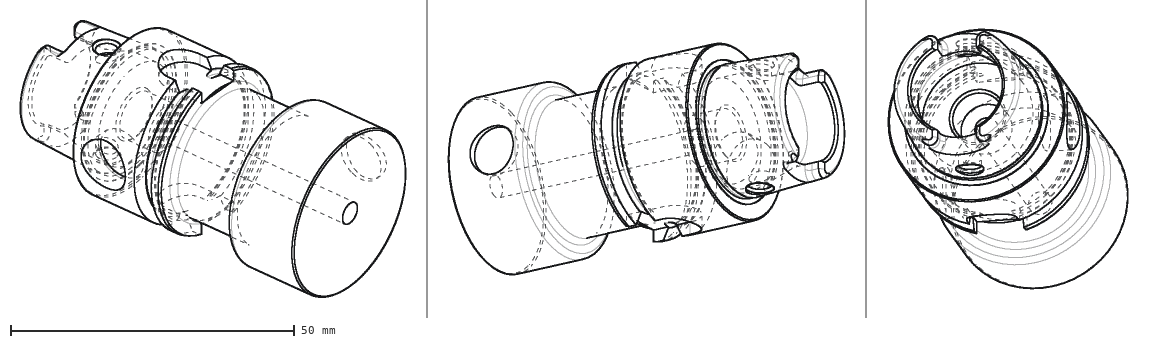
import cadquery as cq
import math


FLANGE_R = 16.0
FLANGE_END = 20.0
FACE_CHAMFER = 0.25
FLANGE_END_BEVEL_LENGTH = 0.6
FLANGE_END_BEVEL_DEPTH = 0.2
GROOVE_R = 13.25
GROOVE_SHOULDER_R = 14.0
GROOVE_START = 15.0
GROOVE_WIDTH = 1.9
GROOVE_FILLET = 0.55
GROOVE_SLOPE_RUN = 1.0

NECK_R = 12.5
NECK_FILLET = 1.0
HEAD_START = 35.0
HEAD_END = 50.0
HEAD_FILLET = 1.0
HEAD_CHAMFER = 0.3

TIP_X = -15.9
TAPER_END_X = -1.15
TAPER_END_R = 12.1
TAPER_RATIO = 1 / 20
TIP_FILLET = 0.7
UNDERCUT_X = -0.9
UNDERCUT_R = 11.85
COLLAR_X = -0.3
COLLAR_R = 12.0
FACE_RECESS_R = 13.0
FACE_RECESS_DEPTH = 0.2

BORE_R = 8.3
BORE_CHAMFER = 0.45
CLAMP_CONE_START_X = -9.7
CLAMP_CONE_END_X = -3.5
CLAMP_R = 10.0
BORE_FLOOR_X = 1.0
POCKET_R = 4.6
POCKET_CHAMFER = 0.5
POCKET_FLOOR_X = 8.0
COOLANT_R = 2.1

SLOT_WIDTH = 7.0
SLOT_FLOOR_TOP_X = -10.9
SLOT_FLOOR_BOTTOM_X = -12.8
SLOT_SHOULDER_Z = 10.2
SLOT_SHOULDER_R = 1.4
SLOT_SHOULDER_SLOPE = 15.0
SLOT_FLOOR_FILLET = 0.85
SLOT_TIP_CHAMFER = 0.8
SLOT_TIP_ANGLE = 45.0

CROSS_X = -5.1
CROSS_R = 2.0
CROSS_SINK_R = 2.5
CROSS_SINK_DEPTH = 0.8
CROSS_SINK_CONE = 0.5

KEY_WIDTH = 9.0
KEY_START = 7.9
KEY_FLOOR_Z = 13.0

CHIP_X = 7.0
CHIP_R = 5.0
CHIP_FLOOR_R = 4.85
CHIP_FLOOR_BEVEL = 0.5
CHIP_FLOOR_Y = 10.7
HEAD_POCKET_X = 40.8
HEAD_POCKET_R = 4.5
HEAD_POCKET_FLOOR_Y = 14.5


def outer_body():
    tip_r = TAPER_END_R - TAPER_RATIO * (TAPER_END_X - TIP_X)
    groove_end = GROOVE_START + GROOVE_WIDTH
    diagonal = 1 - math.sqrt(0.5)
    profile = (
        cq.Workplane("XY")
        .moveTo(TIP_X, 0)
        .lineTo(TIP_X, tip_r - TIP_FILLET)
        .threePointArc(
            (TIP_X + diagonal * TIP_FILLET, tip_r - diagonal * TIP_FILLET),
            (TIP_X + TIP_FILLET, tip_r + TAPER_RATIO * TIP_FILLET),
        )
        .lineTo(TAPER_END_X, TAPER_END_R)
        .lineTo(UNDERCUT_X, UNDERCUT_R)
        .lineTo(COLLAR_X, COLLAR_R)
        .lineTo(FACE_RECESS_DEPTH, COLLAR_R)
        .lineTo(FACE_RECESS_DEPTH, FACE_RECESS_R)
        .lineTo(0, FACE_RECESS_R)
        .lineTo(0, FLANGE_R - FACE_CHAMFER)
        .lineTo(FACE_CHAMFER, FLANGE_R)
        .lineTo(GROOVE_START - GROOVE_SLOPE_RUN, FLANGE_R)
        .lineTo(GROOVE_START, GROOVE_SHOULDER_R)
        .lineTo(GROOVE_START, GROOVE_R + GROOVE_FILLET)
        .radiusArc((GROOVE_START + GROOVE_FILLET, GROOVE_R), -GROOVE_FILLET)
        .lineTo(groove_end - GROOVE_FILLET, GROOVE_R)
        .radiusArc((groove_end, GROOVE_R + GROOVE_FILLET), -GROOVE_FILLET)
        .lineTo(groove_end, GROOVE_SHOULDER_R)
        .lineTo(groove_end + GROOVE_SLOPE_RUN, FLANGE_R)
        .lineTo(FLANGE_END - FLANGE_END_BEVEL_LENGTH, FLANGE_R)
        .lineTo(FLANGE_END, FLANGE_R - FLANGE_END_BEVEL_DEPTH)
        .lineTo(FLANGE_END, NECK_R + NECK_FILLET)
        .radiusArc((FLANGE_END + NECK_FILLET, NECK_R), -NECK_FILLET)
        .lineTo(HEAD_START - NECK_FILLET, NECK_R)
        .radiusArc((HEAD_START, NECK_R + NECK_FILLET), -NECK_FILLET)
        .lineTo(HEAD_START, FLANGE_R - HEAD_FILLET)
        .radiusArc((HEAD_START + HEAD_FILLET, FLANGE_R), HEAD_FILLET)
        .lineTo(HEAD_END - HEAD_CHAMFER, FLANGE_R)
        .lineTo(HEAD_END, FLANGE_R - HEAD_CHAMFER)
        .lineTo(HEAD_END, 0)
        .close()
    )
    return profile.revolve(360, (0, 0, 0), (1, 0, 0))


def bore():
    profile = (
        cq.Workplane("XY")
        .moveTo(TIP_X, 0)
        .lineTo(TIP_X, BORE_R + BORE_CHAMFER)
        .lineTo(TIP_X + BORE_CHAMFER, BORE_R)
        .lineTo(CLAMP_CONE_START_X, BORE_R)
        .lineTo(CLAMP_CONE_END_X, CLAMP_R)
        .lineTo(BORE_FLOOR_X, CLAMP_R)
        .lineTo(BORE_FLOOR_X, POCKET_R + POCKET_CHAMFER)
        .lineTo(BORE_FLOOR_X + POCKET_CHAMFER, POCKET_R)
        .lineTo(POCKET_FLOOR_X, POCKET_R)
        .lineTo(POCKET_FLOOR_X, COOLANT_R)
        .lineTo(HEAD_END, COOLANT_R)
        .lineTo(HEAD_END, 0)
        .close()
    )
    return profile.revolve(360, (0, 0, 0), (1, 0, 0))


def slot_section(x):
    """T-shaped slot outline with rounded, sloping shoulders in the plane at x."""
    half = SLOT_WIDTH / 2
    inner_z = BORE_R / 2
    outer = FLANGE_R
    arc_start_z = SLOT_SHOULDER_Z - SLOT_SHOULDER_R
    slope = math.radians(SLOT_SHOULDER_SLOPE)
    arc_end_y = half + SLOT_SHOULDER_R * (1 + math.sin(slope))
    arc_end_z = arc_start_z + SLOT_SHOULDER_R * math.cos(slope)
    edge_z = arc_end_z - (outer - arc_end_y) * math.tan(slope)
    return (
        cq.Workplane("YZ", origin=(x, 0, 0))
        .moveTo(-half, inner_z)
        .lineTo(half, inner_z)
        .lineTo(half, arc_start_z)
        .radiusArc((arc_end_y, arc_end_z), SLOT_SHOULDER_R)
        .lineTo(outer, edge_z)
        .lineTo(outer, outer)
        .lineTo(-outer, outer)
        .lineTo(-outer, edge_z)
        .lineTo(-arc_end_y, arc_end_z)
        .radiusArc((-half, arc_start_z), SLOT_SHOULDER_R)
        .close()
    )


def drive_slot(floor_x):
    slot = slot_section(TIP_X).extrude(floor_x - TIP_X)
    slot = slot.faces(">X").edges().fillet(SLOT_FLOOR_FILLET)
    lead_in = slot_section(TIP_X + SLOT_TIP_CHAMFER).extrude(-SLOT_TIP_CHAMFER, taper=-SLOT_TIP_ANGLE)
    return slot.union(lead_in)


def cross_hole():
    """Radial hole towards +Z with a cone-bottomed sink at the taper surface."""
    surface_z = TAPER_END_R - TAPER_RATIO * (TAPER_END_X - CROSS_X)
    profile = (
        cq.Workplane("XZ", origin=(CROSS_X, 0, 0))
        .lineTo(CROSS_R, 0)
        .lineTo(CROSS_R, surface_z - CROSS_SINK_DEPTH)
        .lineTo(CROSS_SINK_R, surface_z - CROSS_SINK_DEPTH + CROSS_SINK_CONE)
        .lineTo(CROSS_SINK_R, FLANGE_R)
        .lineTo(0, FLANGE_R)
        .close()
    )
    return profile.revolve(360, (0, 0, 0), (0, 1, 0))


def keyway():
    """Keyway towards +Z: half-round end, open at the rear of the flange."""
    end_r = KEY_WIDTH / 2
    return (
        cq.Workplane("XY", origin=(0, 0, KEY_FLOOR_Z))
        .moveTo(FLANGE_END, -end_r)
        .lineTo(KEY_START + end_r, -end_r)
        .threePointArc((KEY_START, 0), (KEY_START + end_r, end_r))
        .lineTo(FLANGE_END, end_r)
        .close()
        .extrude(FLANGE_R - KEY_FLOOR_Z)
    )


def chip_pocket():
    """Round pocket towards -Y with a narrow bevel around its floor."""
    profile = (
        cq.Workplane("XY", origin=(CHIP_X, 0, 0))
        .moveTo(0, -CHIP_FLOOR_Y)
        .lineTo(CHIP_FLOOR_R, -CHIP_FLOOR_Y)
        .lineTo(CHIP_R, -CHIP_FLOOR_Y - CHIP_FLOOR_BEVEL)
        .lineTo(CHIP_R, -FLANGE_R)
        .lineTo(0, -FLANGE_R)
        .close()
    )
    return profile.revolve(360, (0, 0, 0), (0, 1, 0))


def head_pocket():
    return (
        cq.Workplane("XZ", origin=(HEAD_POCKET_X, FLANGE_R, 0))
        .circle(HEAD_POCKET_R)
        .extrude(FLANGE_R - HEAD_POCKET_FLOOR_Y)
    )


def turned_over(tool):
    """The same tool on the -Z side."""
    return tool.rotate((0, 0, 0), (1, 0, 0), 180)


result = outer_body().cut(bore())
result = result.cut(drive_slot(SLOT_FLOOR_TOP_X))
result = result.cut(turned_over(drive_slot(SLOT_FLOOR_BOTTOM_X)))
for tool in (cross_hole(), keyway()):
    result = result.cut(tool).cut(turned_over(tool))
result = result.cut(chip_pocket()).cut(head_pocket())